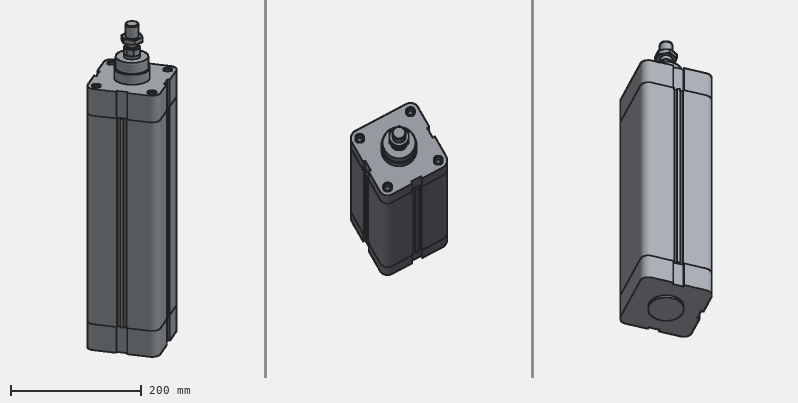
import cadquery as cq
import math

rod_top = 533.0
nut_top = 511.5
nut_height = 8.0
thread_length = 37.0
neck_length = 2.5
wrench_flat_length = 10.5
guide_top = 478.0
collar_top = 460.0
front_cap_top = 442.5
front_cap_height = 45.0
rear_cap_height = 43.5
spigot_height = 4.0

front_cap_base = front_cap_top - front_cap_height
rear_cap_top = spigot_height + rear_cap_height

body_width = 115.5
corner_radius = 13.5

notch_width = 17.5
notch_depth = 3.5
slot_width = 15.0
rib_width = 5.0
grooved_faces = [0, 90, -90]

hole_offset = 44.0
hole_diameter = 10.0
counterbore_diameter = 14.5
counterbore_depth = 2.0
hole_depth = 16.0
drill_point_angle = 118
collar_diameter = 55.0
collar_chamfer = 1.0
guide_diameter = 51.0
guide_chamfer_height = 3.0
guide_chamfer_inset = 0.5

rod_diameter = 25.0
rod_end_diameter = 24.5
rod_socket_depth = 16.0
wrench_flat_width = 22.0
thread_diameter = 20.0
thread_tip_diameter = 18.5
thread_chamfer_height = 2.0
neck_diameter = 17.5
nut_sides = 6
nut_across_flats = 30.0
nut_chamfer_angle = 20


def square_block(base, height):
    """Square prism with rounded vertical corners, standing on the level `base`."""
    return (
        cq.Workplane("XY", origin=(0, 0, base))
        .rect(body_width, body_width)
        .extrude(height)
        .edges("|Z")
        .fillet(corner_radius)
    )


def disc(diameter, base, height):
    """Round disc on the Z axis, standing on the level `base`."""
    return cq.Workplane("XY", origin=(0, 0, base)).circle(diameter / 2).extrude(height)


def cut_grooves(block, base, height, width, centre=0.0):
    """Cut one full-height groove into each grooved face, shifted sideways by `centre`."""
    groove = (
        cq.Workplane("XY", origin=(centre, -body_width / 2, base))
        .rect(width, 2 * notch_depth)
        .extrude(height)
    )
    for turn in grooved_faces:
        block = block.cut(groove.rotate((0, 0, 0), (0, 0, 1), turn))
    return block


def make_mounting_holes():
    """Counterbored blind holes with drill points, at the four corners."""
    radius = hole_diameter / 2
    counterbore_radius = counterbore_diameter / 2
    point_depth = radius / math.tan(math.radians(drill_point_angle / 2))
    hole = (
        cq.Workplane("XZ")
        .polyline([
            (0, 0),
            (counterbore_radius, 0),
            (counterbore_radius, -counterbore_depth),
            (radius, -counterbore_depth),
            (radius, -hole_depth),
            (0, -hole_depth - point_depth),
        ])
        .close()
        .revolve(360, (0, 0), (0, 1))
        .val()
    )
    return (
        cq.Workplane("XY", origin=(0, 0, front_cap_top))
        .rect(2 * hole_offset, 2 * hole_offset, forConstruction=True)
        .vertices()
        .eachpoint(lambda place: hole.moved(place), combine=False)
    )


def make_front_cap():
    """Front cap with stepped rod guide, mounting holes and rod socket."""
    block = square_block(front_cap_base, front_cap_height)
    block = cut_grooves(block, front_cap_base, front_cap_height, notch_width)
    collar = disc(collar_diameter, front_cap_top, collar_top - front_cap_top)
    collar = collar.faces(">Z").chamfer(collar_chamfer)
    guide = disc(guide_diameter, collar_top, guide_top - collar_top)
    guide = guide.faces(">Z").chamfer(guide_chamfer_height, guide_chamfer_inset)
    socket = disc(rod_diameter, guide_top - rod_socket_depth, rod_socket_depth)
    return block.cut(make_mounting_holes()).union(collar).union(guide).cut(socket)


def make_tube():
    """Profile tube; each grooved face has a pair of slots with a rib between them."""
    height = front_cap_base - rear_cap_top
    slot = (slot_width - rib_width) / 2
    slot_centre = (rib_width + slot) / 2
    tube = square_block(rear_cap_top, height)
    for centre in (-slot_centre, slot_centre):
        tube = cut_grooves(tube, rear_cap_top, height, slot, centre)
    return tube


def make_rear_cap():
    """Rear cap with a centring spigot underneath."""
    block = square_block(spigot_height, rear_cap_height)
    block = cut_grooves(block, spigot_height, rear_cap_height, notch_width)
    return block.union(disc(collar_diameter, 0, spigot_height))


def make_rod():
    """Piston rod with wrench flats, a thread undercut and a chamfered threaded end."""
    thread_base = rod_top - thread_length
    shank_top = thread_base - neck_length
    thread_chamfer_inset = (thread_diameter - thread_tip_diameter) / 2
    shank_base = guide_top - rod_socket_depth
    flat_base = shank_top - wrench_flat_length

    shank = disc(rod_diameter, shank_base, flat_base - shank_base)
    flats = disc(rod_end_diameter, flat_base, wrench_flat_length).intersect(
        cq.Workplane("XY", origin=(0, 0, flat_base))
        .rect(rod_end_diameter, wrench_flat_width)
        .extrude(wrench_flat_length)
    )
    neck = disc(neck_diameter, shank_top, neck_length)
    thread = disc(thread_diameter, thread_base, thread_length)
    thread = thread.faces(">Z").chamfer(thread_chamfer_height, thread_chamfer_inset)
    return shank.union(flats).union(neck).union(thread)


def make_nut():
    """Hexagon lock nut with two corners on the X axis and both rims coned at the corners."""
    across_corners = nut_across_flats / math.cos(math.pi / nut_sides)
    chamfer_inset = (across_corners - nut_across_flats) / 2
    chamfer_height = chamfer_inset * math.tan(math.radians(nut_chamfer_angle))
    nut_base = nut_top - nut_height
    hexagon = (
        cq.Workplane("XY", origin=(0, 0, nut_base))
        .polygon(nut_sides, across_corners)
        .circle(thread_diameter / 2)
        .extrude(nut_height)
    )
    top_cone = disc(across_corners, nut_base, nut_height)
    top_cone = top_cone.faces(">Z").chamfer(chamfer_height, chamfer_inset)
    bottom_cone = disc(across_corners, nut_base, nut_height)
    bottom_cone = bottom_cone.faces("<Z").chamfer(chamfer_height, chamfer_inset)
    return hexagon.intersect(top_cone).intersect(bottom_cone)


front_cap = make_front_cap()
tube = make_tube()
rear_cap = make_rear_cap()
rod = make_rod()
nut = make_nut()

result = cq.Compound.makeCompound([
    front_cap.val(),
    tube.val(),
    rear_cap.val(),
    rod.val(),
    nut.val(),
])